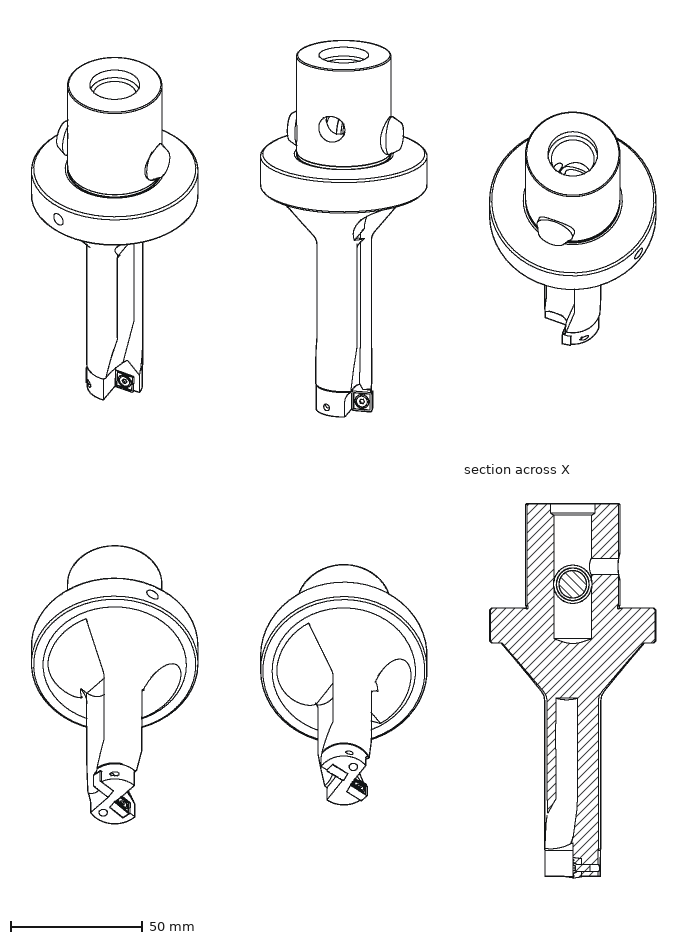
import cadquery as cq
import math

TOTAL_HEIGHT = 143.0
EXTRA = 14.3

SHANK_RADIUS = 18.0
SHANK_CHAMFER = 0.5
FLANGE_RADIUS = 31.7
FLANGE_TOP = 103.2
FLANGE_BOTTOM = 89.8
FLANGE_CHAMFER = 0.9
UNDERCUT_HEIGHT = 1.0
UNDERCUT_DEPTH = 0.3
UNDERCUT_WIDTH = 0.9

CONE_TOP_RADIUS = 27.3
CONE_FOOT = 69.9
CONE_FILLET = 5.7
BODY_RADIUS = 10.7
HEAD_RADIUS = 10.6
HEAD_TOP = 10.9
HEAD_STEP_HEIGHT = 0.5
HEAD_BOTTOM = 1.0

BORE_RADIUS = 8.2
BORE_BOTTOM = 91.5
BORE_CHAMFER = 0.9
BORE_POINT_HEIGHT = 3.6
COUNTERBORE_RADIUS = 9.5
COUNTERBORE_DEPTH = 3.6
COOLANT_RADIUS = 1.6
COOLANT_X = 0.5
COOLANT_Y = 6.9
BACK_HOLE_RADIUS = 5.1
BACK_HOLE_Z = 119.0
FLANGE_HOLE_RADIUS = 2.5
FLANGE_HOLE_DEPTH = 5.7
FLANGE_HOLE_POINT = 1.5
FLANGE_HOLE_X = -8.7

PIN_Z = 112.3
PIN_RADIUS = 7.3
PIN_TIP_RADIUS = 5.1
PIN_TIP_FILLET = 0.7
PIN_CONE_ANGLE = 30.0
PIN_CONE_LENGTH = (PIN_RADIUS - PIN_TIP_RADIUS) / math.tan(math.radians(PIN_CONE_ANGLE))
SLEEVE_END = -22.3
SLEEVE_INNER_END = -0.6
SLEEVE_CHAMFER = 1.0
STUD_END = 21.0
STUD_HEAD_START = 5.7
STUD_RADIUS = 5.3
STUD_INNER_END = -11.5
RING_RADIUS = 6.1
RING_END = 1.3

INSERT_SIDE = 7.9
INSERT_CORNER = 0.7
INSERT_THICKNESS = 3.3
INSERT_CLEARANCE = 8.0
CHIP_GROOVE_MARGIN = 0.7
CHIP_GROOVE_DEPTH = 0.3
BOSS_RADIUS = 2.7
CENTRE_INSERT_X = 4.1
CENTRE_INSERT_TILT = 3.5
OUTER_INSERT_X = -7.2
OUTER_INSERT_BOTTOM = 0.5

SCREW_HEAD_RADIUS = 2.1
SCREW_HEAD_HEIGHT = 1.5
SCREW_RADIUS = 1.3
SCREW_LENGTH = 6.6
SOCKET_WIDTH = 2.0
SOCKET_DEPTH = 0.9

FLUTE_END_DROP = 5.0
RUNOUT_TOP = 87.8
CENTRE_POCKET_WALL = 0.5
CENTRE_POCKET_PEAK_X = 5.7
CENTRE_POCKET_PEAK_Z = 14.7
OUTER_POCKET_WALL = -3.1
OUTER_POCKET_TOP = 11.5
OUTER_POCKET_FILLET = 4.3

half_side = INSERT_SIDE / 2
tilt = math.radians(CENTRE_INSERT_TILT)
centre_insert_z = (half_side - INSERT_CORNER) * (math.cos(tilt) + math.sin(tilt)) + INSERT_CORNER
outer_insert_z = OUTER_INSERT_BOTTOM + half_side


def turned(points, axis_end=(0, 1)):
    """Solid of revolution of a closed half section."""
    return cq.Workplane("XZ").polyline(points).close().revolve(360, (0, 0), axis_end)


def pin_tip(end, side):
    """Cylinder with a rounded conical tip pointing along side * X, from the bore wall outward."""
    cone_start = end - side * PIN_CONE_LENGTH
    start = SLEEVE_INNER_END if side < 0 else STUD_HEAD_START
    section = [(start, 0), (start, PIN_RADIUS), (cone_start, PIN_RADIUS), (end, PIN_TIP_RADIUS), (end, 0)]
    tip = turned(section, (1, 0))
    tip = tip.faces("<X" if side < 0 else ">X").edges().fillet(PIN_TIP_FILLET)
    return tip.translate((0, 0, PIN_Z))


def pin_cylinder(radius, start, end):
    return cq.Workplane("YZ").center(0, PIN_Z).circle(radius).extrude(end - start).translate((start, 0, 0))


def make_pin_stud():
    """Headed stud: conical head on the +X side, threaded end held in the sleeve."""
    stem = pin_cylinder(STUD_RADIUS, STUD_INNER_END, STUD_HEAD_START)
    return pin_tip(STUD_END, 1).union(stem)


def make_pin_sleeve():
    """Conical sleeve on the -X side, bored to take the stud."""
    sleeve = pin_tip(SLEEVE_END, -1).faces(">X").edges().chamfer(SLEEVE_CHAMFER)
    return sleeve.cut(pin_cylinder(STUD_RADIUS, STUD_INNER_END, SLEEVE_INNER_END))


def make_pin_ring():
    """Ring around the stud, seated against the inner end of the sleeve."""
    ring = pin_cylinder(RING_RADIUS, SLEEVE_INNER_END, RING_END)
    return ring.cut(pin_cylinder(STUD_RADIUS, SLEEVE_INNER_END, RING_END))


def insert_blank():
    sketch = cq.Sketch().rect(INSERT_SIDE, INSERT_SIDE).vertices().fillet(INSERT_CORNER)
    blank = cq.Workplane("XZ").placeSketch(sketch)
    return blank.extrude(-INSERT_THICKNESS, taper=INSERT_CLEARANCE)


def screw_blank():
    return turned(
        [
            (0, 0),
            (SCREW_HEAD_RADIUS, 0),
            (SCREW_RADIUS, SCREW_HEAD_HEIGHT),
            (SCREW_RADIUS, SCREW_LENGTH),
            (0, SCREW_LENGTH),
        ]
    ).rotate((0, 0, 0), (1, 0, 0), -90)


def make_insert():
    """Square insert with a chip groove around the boss of its countersunk screw hole."""
    groove_side = INSERT_SIDE - 2 * CHIP_GROOVE_MARGIN
    groove = (
        cq.Workplane("XZ")
        .rect(groove_side, groove_side)
        .circle(BOSS_RADIUS)
        .extrude(-CHIP_GROOVE_DEPTH)
    )
    return insert_blank().cut(groove).cut(screw_blank())


def make_screw():
    """Countersunk screw with a hexagon socket."""
    socket = cq.Workplane("XZ").polygon(6, SOCKET_WIDTH).extrude(-SOCKET_DEPTH)
    return screw_blank().cut(socket)


def screw_hole():
    """Clearance for the screw, open at the far side of the drill body."""
    return cq.Workplane("XZ").circle(SCREW_RADIUS).extrude(-BODY_RADIUS)


def at_centre(body):
    """Place a body at the centre seat, tilted so that one corner is the tip of the tool."""
    tilted = body.rotate((0, 0, 0), (0, 1, 0), CENTRE_INSERT_TILT)
    return tilted.translate((CENTRE_INSERT_X, 0, centre_insert_z))


def at_outer(body):
    """Place a body at the outer seat, facing +Y."""
    turned_round = body.rotate((0, 0, 0), (0, 0, 1), 180)
    return turned_round.translate((OUTER_INSERT_X, 0, outer_insert_z))


def holder_blank():
    body = turned(
        [
            (0, HEAD_BOTTOM),
            (HEAD_RADIUS, HEAD_BOTTOM),
            (HEAD_RADIUS, HEAD_TOP),
            (BODY_RADIUS, HEAD_TOP + HEAD_STEP_HEIGHT),
            (BODY_RADIUS, CONE_FOOT),
            (CONE_TOP_RADIUS, FLANGE_BOTTOM),
            (0, FLANGE_BOTTOM),
        ]
    )
    foot = cq.selectors.NearestToPointSelector((BODY_RADIUS, 0, CONE_FOOT))
    body = body.edges("%CIRCLE").edges(foot).fillet(CONE_FILLET)
    flange = (
        cq.Workplane("XY", origin=(0, 0, FLANGE_BOTTOM))
        .circle(FLANGE_RADIUS)
        .extrude(FLANGE_TOP - FLANGE_BOTTOM)
        .edges()
        .chamfer(FLANGE_CHAMFER)
    )
    shank = (
        cq.Workplane("XY", origin=(0, 0, FLANGE_TOP))
        .circle(SHANK_RADIUS)
        .extrude(TOTAL_HEIGHT - FLANGE_TOP)
        .faces(">Z")
        .chamfer(SHANK_CHAMFER)
    )
    return body.union(flange).union(shank)


def undercut():
    """Relief groove in the corner between shank and flange."""
    inner = SHANK_RADIUS - UNDERCUT_DEPTH
    return turned(
        [
            (inner, FLANGE_TOP - UNDERCUT_DEPTH),
            (SHANK_RADIUS, FLANGE_TOP - UNDERCUT_DEPTH),
            (SHANK_RADIUS + UNDERCUT_WIDTH, FLANGE_TOP),
            (SHANK_RADIUS, FLANGE_TOP + UNDERCUT_HEIGHT),
            (inner, FLANGE_TOP + UNDERCUT_HEIGHT - UNDERCUT_DEPTH),
        ]
    )


def bore():
    step = TOTAL_HEIGHT - COUNTERBORE_DEPTH
    return turned(
        [
            (0, TOTAL_HEIGHT),
            (COUNTERBORE_RADIUS, TOTAL_HEIGHT),
            (COUNTERBORE_RADIUS, step),
            (BORE_RADIUS, step - BORE_CHAMFER),
            (BORE_RADIUS, BORE_BOTTOM),
            (0, BORE_BOTTOM - BORE_POINT_HEIGHT),
        ]
    )


def coolant_hole():
    """Straight channel from the bore down through the tip."""
    return cq.Workplane("XY").center(COOLANT_X, COOLANT_Y).circle(COOLANT_RADIUS).extrude(BORE_BOTTOM)


def back_hole():
    """Cross hole from the +Y side into the bore."""
    return cq.Workplane("XZ", origin=(0, 0, BACK_HOLE_Z)).circle(BACK_HOLE_RADIUS).extrude(-SHANK_RADIUS)


def flange_hole():
    """Blind radial hole with a drill point in the rim of the flange."""
    inner = FLANGE_RADIUS - FLANGE_HOLE_DEPTH
    hole = turned(
        [
            (inner - FLANGE_HOLE_POINT, 0),
            (inner, FLANGE_HOLE_RADIUS),
            (FLANGE_RADIUS + EXTRA, FLANGE_HOLE_RADIUS),
            (FLANGE_RADIUS + EXTRA, 0),
        ],
        (1, 0),
    )
    angle = -math.degrees(math.acos(FLANGE_HOLE_X / FLANGE_RADIUS))
    middle = (FLANGE_TOP + FLANGE_BOTTOM) / 2
    return hole.rotate((0, 0, 0), (0, 0, 1), angle).translate((0, 0, middle))


def flute(corner, floor, edge, wall_slope, bend, lean, runout_floor, runout_radius):
    """Chip flute on the +X side.

    Its section is a flat wall that runs out from `corner`, and an arc from there through `floor`
    to `edge`. Below the height `bend` the section moves along the vector `lean`. At the top
    the flute ends on a sloping face, and a run-out of `runout_radius` curves out of the cone
    from `runout_floor`, its distance from the tool axis.
    """
    reach = FLANGE_RADIUS
    flute_top = RUNOUT_TOP - runout_radius
    wall_end = (reach, corner[1] + wall_slope * (reach - corner[0]))

    def section(z):
        plane = cq.Workplane("XY", origin=(0, 0, z))
        arc = plane.moveTo(*wall_end).lineTo(*corner).threePointArc(floor, edge)
        return arc.lineTo(reach, edge[1]).close()

    straight = section(bend).extrude(flute_top - bend)
    end_face = (
        cq.Workplane("XZ", origin=(0, reach, 0))
        .moveTo(runout_floor, flute_top)
        .lineTo(0, flute_top - FLUTE_END_DROP)
        .lineTo(0, flute_top)
        .close()
        .extrude(2 * reach)
    )
    straight = straight.cut(end_face)
    leaning = cq.Solid.extrudeLinear(section(bend).wires().val(), [], cq.Vector(*lean))

    quarter = runout_radius * math.sqrt(0.5)
    centre_x = runout_floor + runout_radius
    sweep = (
        cq.Workplane("XZ", origin=(0, reach, 0))
        .moveTo(runout_floor, flute_top)
        .threePointArc((centre_x - quarter, flute_top + quarter), (centre_x, RUNOUT_TOP))
        .lineTo(reach, RUNOUT_TOP)
        .lineTo(reach, flute_top)
        .close()
        .extrude(2 * reach)
    )
    wall_side = (
        cq.Workplane("XY")
        .polyline([corner, wall_end, (reach, -reach), (corner[0], -reach)])
        .close()
        .extrude(TOTAL_HEIGHT)
    )
    return straight.union(cq.Workplane(leaning)).union(sweep.intersect(wall_side))


def centre_flute():
    """Flute and peaked seat pocket in front of the centre insert."""
    cutter = flute(
        corner=(5.9, 4.7),
        floor=(3.5, -2.6),
        edge=(5.7, -9.2),
        wall_slope=0.3,
        bend=30.3,
        lean=(-2.6, -7.2, -22.0),
        runout_floor=6.3,
        runout_radius=17.3,
    )
    pocket = (
        cq.Workplane("XZ")
        .moveTo(CENTRE_POCKET_WALL, 0)
        .lineTo(CENTRE_POCKET_WALL, HEAD_TOP)
        .lineTo(CENTRE_POCKET_PEAK_X, CENTRE_POCKET_PEAK_Z)
        .lineTo(EXTRA, CENTRE_POCKET_PEAK_Z)
        .lineTo(EXTRA, 0)
        .close()
        .extrude(EXTRA)
    )
    return cutter.union(pocket)


def outer_flute():
    """Flute on the -X side and round-topped pocket in front of the outer insert."""
    cutter = flute(
        corner=(5.7, 3.1),
        floor=(3.3, -2.6),
        edge=(7.3, -7.9),
        wall_slope=0.35,
        bend=28.3,
        lean=(0.6, -3.6, -19.0),
        runout_floor=7.2,
        runout_radius=15.2,
    )
    cutter = cutter.rotate((0, 0, 0), (0, 0, 1), 180)
    pocket = (
        cq.Workplane("XY")
        .box(EXTRA, EXTRA, OUTER_POCKET_TOP, centered=False)
        .edges(">X and >Z")
        .fillet(OUTER_POCKET_FILLET)
    )
    return cutter.union(pocket.translate((OUTER_POCKET_WALL - EXTRA, 0, 0)))


def make_holder():
    holder = holder_blank().cut(undercut()).cut(bore()).cut(coolant_hole())
    holder = holder.cut(back_hole()).cut(flange_hole())
    holder = holder.cut(pin_cylinder(PIN_RADIUS, -FLANGE_RADIUS, FLANGE_RADIUS))
    holder = holder.cut(centre_flute()).cut(outer_flute())
    for place in (at_centre, at_outer):
        holder = holder.cut(place(insert_blank())).cut(place(screw_hole()))
    return holder


holder = make_holder()
pin_stud = make_pin_stud()
pin_sleeve = make_pin_sleeve()
pin_ring = make_pin_ring()
inserts = [place(make_insert()) for place in (at_centre, at_outer)]
screws = [place(make_screw()) for place in (at_centre, at_outer)]

bodies = [holder, pin_stud, pin_sleeve, pin_ring, *inserts, *screws]
result = cq.Compound.makeCompound([body.val() for body in bodies])